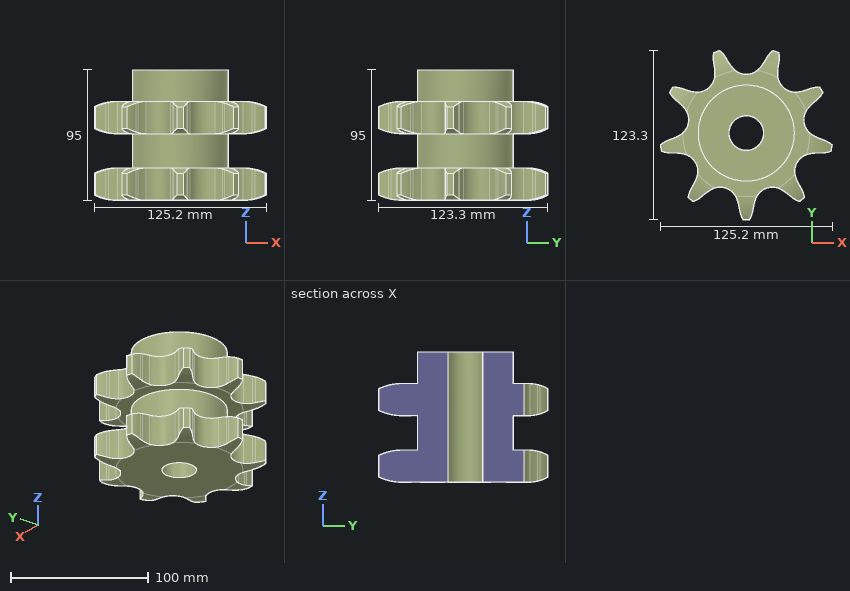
import cadquery as cq
import math


overall_width = 125.2
overall_height = 95.0

hub_diameter = 70.0
bore_diameter = 25.0

row_thickness = 23.7
row_spacing = 48.5
row_count = 2

tooth_count = 9
chain_pitch = 38.1
roller_diameter = 25.4
seat_clearance = 0.1
first_tooth_angle = math.radians(-90)

side_rounding_start_radius = 46.3
side_rounding_radius = chain_pitch

rim_clearance = 1.3

working_offset_ratio = 0.8
topping_offset_ratio = 1.4
tooth_angle = math.radians(360 / tooth_count)
half_tooth_angle = tooth_angle / 2
pitch_radius = chain_pitch / 2 / math.sin(half_tooth_angle)
seat_angle = math.radians(35 + 60 / tooth_count)
working_angle = math.radians(18 - 56 / tooth_count)
flank_angle = seat_angle - working_angle
working_centre_offset = working_offset_ratio * roller_diameter
topping_centre_offset = topping_offset_ratio * roller_diameter
seat_radius = roller_diameter / 2 + seat_clearance
working_radius = seat_radius + working_centre_offset


def point_on_arc(centre, radius, angle):
    return (centre[0] + radius * math.cos(angle), centre[1] + radius * math.sin(angle))


roller_centre = (0.0, 0.0)
working_centre = point_on_arc(roller_centre, working_centre_offset, math.pi - seat_angle)
topping_centre = point_on_arc(roller_centre, topping_centre_offset, -half_tooth_angle)

root = point_on_arc(roller_centre, seat_radius, -math.pi / 2)
seat_end = point_on_arc(roller_centre, seat_radius, -seat_angle)
working_middle = point_on_arc(working_centre, working_radius, -(seat_angle + flank_angle) / 2)
working_end = point_on_arc(working_centre, working_radius, -flank_angle)

topping_radius = (topping_centre[0] - working_end[0]) * math.cos(flank_angle)
topping_radius -= (topping_centre[1] - working_end[1]) * math.sin(flank_angle)
topping_start_angle = math.pi - flank_angle
topping_start = point_on_arc(topping_centre, topping_radius, topping_start_angle)


def from_gap(gap_angle, side, point):
    """Turn (across, outward) of a gap into X, Y; the tooth is clockwise of it for side = 1."""
    across = side * point[0]
    outward = pitch_radius + point[1]
    x = outward * math.cos(gap_angle) + across * math.sin(gap_angle)
    y = outward * math.sin(gap_angle) - across * math.cos(gap_angle)
    return (x, y)


teeth_to_widest = round(-first_tooth_angle / tooth_angle)
widest_gap_angle = first_tooth_angle + teeth_to_widest * tooth_angle + half_tooth_angle
arc_x, arc_y = from_gap(widest_gap_angle, 1, topping_centre)
corner_x = overall_width / 2
corner_y = arc_y + math.sqrt(topping_radius**2 - (corner_x - arc_x) ** 2)
tip_radius = math.hypot(corner_x, corner_y)

corner_direction = math.atan2(corner_y - arc_y, corner_x - arc_x)
topping_end_angle = corner_direction + math.pi / 2 - widest_gap_angle
topping_middle_angle = (topping_start_angle + topping_end_angle) / 2
topping_middle = point_on_arc(topping_centre, topping_radius, topping_middle_angle)
tip_corner = point_on_arc(topping_centre, topping_radius, topping_end_angle)


def add_tooth(outline, centre_angle):
    """Continue the outline from a seat end over one tooth and through the seat that follows it."""
    gap_before = centre_angle - half_tooth_angle
    gap_after = centre_angle + half_tooth_angle
    tip_middle = (tip_radius * math.cos(centre_angle), tip_radius * math.sin(centre_angle))

    def rising(point):
        return from_gap(gap_before, -1, point)

    def falling(point):
        return from_gap(gap_after, 1, point)

    return (
        outline.threePointArc(rising(working_middle), rising(working_end))
        .lineTo(*rising(topping_start))
        .threePointArc(rising(topping_middle), rising(tip_corner))
        .threePointArc(tip_middle, falling(tip_corner))
        .threePointArc(falling(topping_middle), falling(topping_start))
        .lineTo(*falling(working_end))
        .threePointArc(falling(working_middle), falling(seat_end))
        .threePointArc(falling(root), from_gap(gap_after, -1, seat_end))
    )


def tooth_outline():
    first_gap_angle = first_tooth_angle - half_tooth_angle
    outline = cq.Workplane("XY").moveTo(*from_gap(first_gap_angle, -1, seat_end))
    for index in range(tooth_count):
        outline = add_tooth(outline, first_tooth_angle + index * tooth_angle)
    return outline.close()


def rounded_disc():
    """Disc that bounds a row, its faces curving towards each other at the rim."""
    rim_radius = tip_radius + rim_clearance

    def drop(radius):
        run = radius - side_rounding_start_radius
        return side_rounding_radius - math.sqrt(side_rounding_radius**2 - run**2)

    middle_radius = (side_rounding_start_radius + rim_radius) / 2
    return (
        cq.Workplane("XZ")
        .lineTo(side_rounding_start_radius, 0)
        .threePointArc((middle_radius, drop(middle_radius)), (rim_radius, drop(rim_radius)))
        .lineTo(rim_radius, row_thickness - drop(rim_radius))
        .threePointArc(
            (middle_radius, row_thickness - drop(middle_radius)),
            (side_rounding_start_radius, row_thickness),
        )
        .lineTo(0, row_thickness)
        .close()
        .revolve(360, (0, 0), (0, 1))
    )


toothed_row = tooth_outline().extrude(row_thickness).intersect(rounded_disc())

sprocket = cq.Workplane("XY").circle(hub_diameter / 2).extrude(overall_height)
for row in range(row_count):
    sprocket = sprocket.union(toothed_row.translate((0, 0, row * row_spacing)))

bore = cq.Workplane("XY").circle(bore_diameter / 2).extrude(overall_height)
result = sprocket.cut(bore)